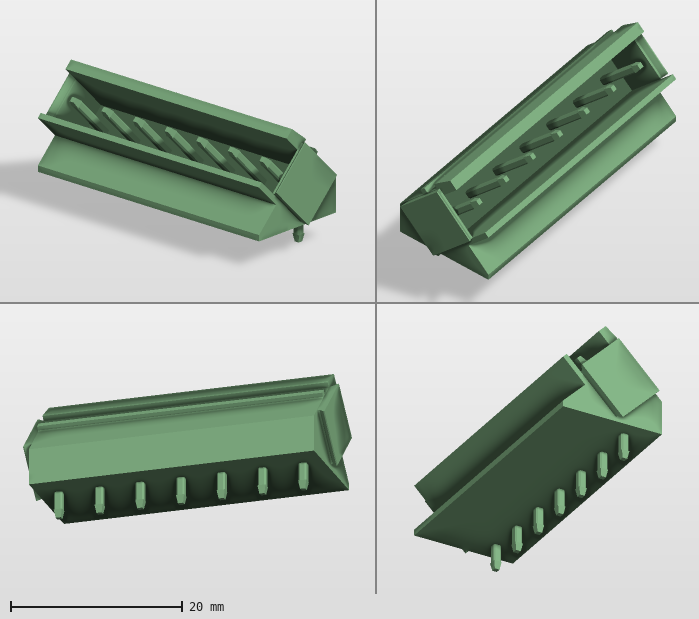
import cadquery as cq
import math


total_length = 37.0
housing_length = 35.0
base_depth = 13.3
base_front_y = -base_depth / 2
base_back_y = base_depth / 2

front_wall_outer_v = 0.05
front_wall_inner_v = 0.75
back_wall_inner_v = 6.8
back_face_v = 7.8
ledge_u = 5.25
mouth_u = 9.45
floor_u = 0.75

hook_v = 8.47
hook_start_u = 6.35
hook_flat = 0.37
hook_rim_v = 8.15
rib_centre_u = 3.85
rib_width = 0.85
rib_flare = 0.15

rail_low_u = -0.45
rail_high_u = 7.33
rail_front_v = front_wall_inner_v
rail_back_v = 7.75
rail_undercut = 0.5
rail_neck = 0.3
rail_lip = 0.15

pin_count = 7
pin_pitch = housing_length / pin_count
pin_width = 1.0
pin_chamfer = 0.2
pin_tip_length = 1.0
pin_tip_width = 0.63
pin_y = 2.92
pin_v = 3.8
pin_bottom_z = -3.2
pin_end_u = 8.47


def tilted(u, v):
    """(y, z) of a point given along the tilted socket axes."""
    return ((v - u) / math.sqrt(2), (v + u) / math.sqrt(2))


def prism_along_x(points, length):
    """Solid with a YZ outline, centred on X = 0."""
    return cq.Workplane("YZ").polyline(points).close().extrude(length / 2, both=True)


def make_body():
    """Solid base with both socket walls; its back face ends in the hook."""
    back_edge_z = math.sqrt(2) * back_face_v - base_back_y
    front_edge_z = math.sqrt(2) * ledge_u + base_front_y
    outline = [
        (base_back_y, 0),
        (base_front_y, 0),
        (base_front_y, front_edge_z),
        tilted(ledge_u, front_wall_outer_v),
        tilted(mouth_u, front_wall_outer_v),
        tilted(mouth_u, hook_rim_v),
        tilted(hook_start_u + hook_flat, hook_v),
        tilted(hook_start_u, hook_v),
        tilted(hook_start_u, back_face_v),
        (base_back_y, back_edge_z),
    ]
    return prism_along_x(outline, housing_length)


def make_rib():
    """Full-length rib with sloped feet on the back face."""
    half = rib_width / 2
    foot = half + rib_flare
    outline = [
        tilted(rib_centre_u - foot, back_face_v),
        tilted(rib_centre_u - half, back_face_v + rib_flare),
        tilted(rib_centre_u - half, hook_v),
        tilted(rib_centre_u + half, hook_v),
        tilted(rib_centre_u + half, back_face_v + rib_flare),
        tilted(rib_centre_u + foot, back_face_v),
    ]
    return prism_along_x(outline, housing_length)


def make_socket():
    """Cavity open at the mouth and closed at both ends by the rails."""
    outline = [
        tilted(floor_u, front_wall_inner_v),
        tilted(mouth_u, front_wall_inner_v),
        tilted(mouth_u, back_wall_inner_v),
        tilted(floor_u, back_wall_inner_v),
    ]
    return prism_along_x(outline, housing_length)


def make_rail(side):
    """Dovetail rail on the end at side = -1 or +1, running along v."""
    y, z = tilted(0, rail_back_v)
    plane = cq.Plane(origin=(0, y, z), xDir=(1, 0, 0), normal=(0, -1, -1))
    root_x = side * housing_length / 2
    neck_x = side * (housing_length / 2 + rail_neck)
    lip_x = side * (total_length / 2 - rail_lip)
    outer_x = side * total_length / 2
    low_neck_u = rail_low_u + rail_undercut
    high_neck_u = rail_high_u - rail_undercut
    outline = [
        (root_x, low_neck_u),
        (neck_x, low_neck_u),
        (lip_x, rail_low_u),
        (outer_x, rail_low_u),
        (outer_x, rail_high_u),
        (lip_x, rail_high_u),
        (neck_x, high_neck_u),
        (root_x, high_neck_u),
    ]
    return cq.Workplane(plane).polyline(outline).close().extrude(rail_back_v - rail_front_v)


def make_housing(pins):
    """Housing with a matching hole for each pin."""
    housing = make_body().union(make_rib()).cut(make_socket())
    for side in (-1, 1):
        housing = housing.union(make_rail(side))
    for pin in pins:
        housing = housing.cut(pin)
    return housing


def pin_section(plane):
    """Square pin section with chamfered corners."""
    half = pin_width / 2
    flat = half - pin_chamfer
    corners = [
        (half, -flat),
        (half, flat),
        (flat, half),
        (-flat, half),
        (-half, flat),
        (-half, -flat),
        (-flat, -half),
        (flat, -half),
    ]
    return cq.Workplane(plane).polyline(corners).close()


def make_pin_tip(plane):
    """Square pin end that narrows on four sides along the plane normal."""
    taper = math.degrees(math.atan((pin_width - pin_tip_width) / 2 / pin_tip_length))
    return cq.Workplane(plane).rect(pin_width, pin_width).extrude(pin_tip_length, taper=taper)


def make_pin(x):
    """Pin with a vertical solder leg and a contact leg along u."""
    bend_z = math.sqrt(2) * pin_v - pin_y
    solder_tip_z = pin_bottom_z + pin_tip_length
    contact_tip = tilted(pin_end_u - pin_tip_length, pin_v)

    solder_end = cq.Plane(origin=(x, pin_y, solder_tip_z), xDir=(1, 0, 0), normal=(0, 0, -1))
    contact_end = cq.Plane(origin=(x, *contact_tip), xDir=(1, 0, 0), normal=(0, -1, 1))
    path = cq.Workplane("YZ", origin=(x, 0, 0)).polyline(
        [(pin_y, solder_tip_z), (pin_y, bend_z), contact_tip]
    )
    shank = pin_section(solder_end).sweep(path, transition="right")
    return shank.union(make_pin_tip(solder_end)).union(make_pin_tip(contact_end))


pins = [make_pin((i - (pin_count - 1) / 2) * pin_pitch) for i in range(pin_count)]
housing = make_housing(pins)

result = cq.Compound.makeCompound([housing.val(), *[pin.val() for pin in pins]])